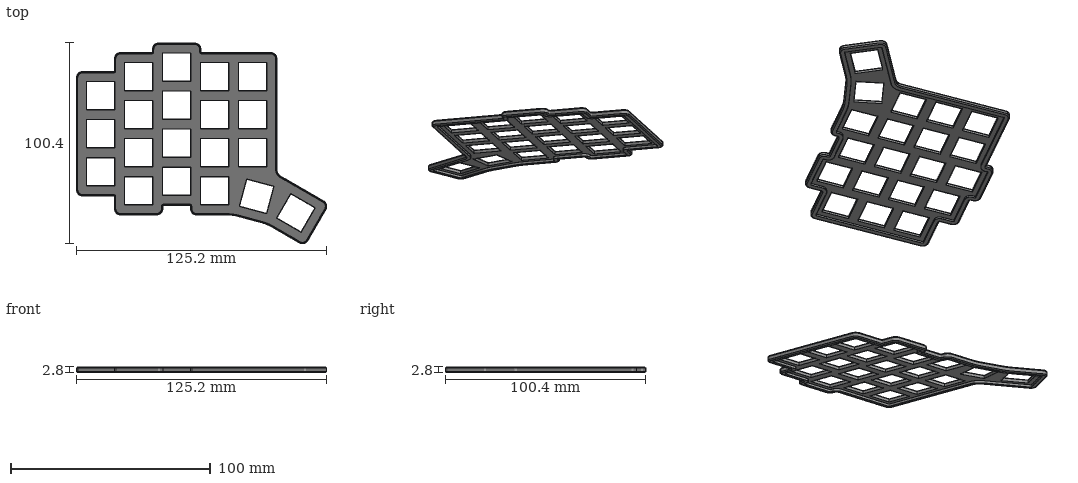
import cadquery as cq
import math

plate_length = 125.18
plate_width = 100.38
thickness = 2.8
edge_chamfer = 0.6
outer_corner_radius = 3.1
inner_corner_radius = 0.5
thumb_blend_radius = 20.0
thumb_top_radius = 4.0

skin_thickness = 1.6
rim_width = 2.6

key_pitch = 19.025
cutout_size = 14.0
border = 5.08
cell_half = cutout_size / 2 + border

anchor_column = 3
top_key_y = 3 * key_pitch
column_key_counts = [3, 4, 4, 4, 3]
column_top_ys = [
    top_key_y - key_pitch / 2,
    top_key_y,
    top_key_y + key_pitch / 4,
    top_key_y,
    top_key_y,
]
column_xs = [(i - anchor_column) * key_pitch for i in range(len(column_key_counts))]

inner_thumb_center = (21.0, -2.8)
inner_thumb_tilt = 15.0
outer_thumb_tilt = 30.0

outer_tilt_radians = math.radians(outer_thumb_tilt)
outer_cell_reach = outer_corner_radius + (cell_half - outer_corner_radius) * (
    math.cos(outer_tilt_radians) + math.sin(outer_tilt_radians)
)
outer_thumb_center = (
    min(column_xs) - cell_half + plate_length - outer_cell_reach,
    max(column_top_ys) + cell_half - plate_width + outer_cell_reach,
)


def tilted_point(center, tilt, along, across):
    """Point at local offsets (along, across) from a key tilted clockwise."""
    angle = -math.radians(tilt)
    x = center[0] + along * math.cos(angle) - across * math.sin(angle)
    y = center[1] + along * math.sin(angle) + across * math.cos(angle)
    return (x, y)


def height_on_line(point, tilt, x):
    """Height at x of the line through point that falls at the tilt angle."""
    return point[1] - (x - point[0]) * math.tan(math.radians(tilt))


def line_crossing(point_a, tilt_a, point_b, tilt_b):
    """Crossing point of two lines falling at different tilt angles."""
    slope_a = -math.tan(math.radians(tilt_a))
    slope_b = -math.tan(math.radians(tilt_b))
    rise = point_b[1] - point_a[1] + slope_a * point_a[0] - slope_b * point_b[0]
    x = rise / (slope_a - slope_b)
    return (x, height_on_line(point_a, tilt_a, x))


def make_outline():
    """Corner points, counter-clockwise from the lower left, each with its fillet radius."""
    lefts = [x - cell_half for x in column_xs]
    rights = [x + cell_half for x in column_xs]
    tops = [y + cell_half for y in column_top_ys]
    bottoms = [
        y - (count - 1) * key_pitch - cell_half
        for y, count in zip(column_top_ys, column_key_counts)
    ]

    inner_thumb_edge = tilted_point(inner_thumb_center, inner_thumb_tilt, 0, -cell_half)
    outer_low_left = tilted_point(outer_thumb_center, outer_thumb_tilt, -cell_half, -cell_half)
    outer_low_right = tilted_point(outer_thumb_center, outer_thumb_tilt, cell_half, -cell_half)
    outer_top_right = tilted_point(outer_thumb_center, outer_thumb_tilt, cell_half, cell_half)
    thumb_start = line_crossing((0, bottoms[anchor_column]), 0, inner_thumb_edge, inner_thumb_tilt)
    thumb_bend = line_crossing(
        inner_thumb_edge, inner_thumb_tilt, outer_low_left, outer_thumb_tilt
    )
    thumb_top = (rights[4], height_on_line(outer_top_right, outer_thumb_tilt, rights[4]))

    outer = outer_corner_radius
    inner = inner_corner_radius
    blend = thumb_blend_radius
    return [
        ((lefts[0], bottoms[0]), outer),
        ((lefts[1], bottoms[0]), inner),
        ((lefts[1], bottoms[1]), outer),
        ((rights[1], bottoms[1]), outer),
        ((rights[1], bottoms[2]), inner),
        ((lefts[3], bottoms[2]), inner),
        ((lefts[3], bottoms[3]), outer),
        (thumb_start, blend),
        (thumb_bend, blend),
        (outer_low_right, outer),
        (outer_top_right, outer),
        (thumb_top, thumb_top_radius),
        ((rights[4], tops[4]), outer),
        ((rights[2], tops[3]), inner),
        ((rights[2], tops[2]), outer),
        ((lefts[2], tops[2]), outer),
        ((lefts[2], tops[1]), inner),
        ((lefts[1], tops[1]), outer),
        ((lefts[1], tops[0]), inner),
        ((lefts[0], tops[0]), outer),
    ]


def corner_selector(point):
    """Selects the upright edge of the blank standing at an outline corner."""
    reach = 0.1
    low = (point[0] - reach, point[1] - reach, -reach)
    high = (point[0] + reach, point[1] + reach, thickness + reach)
    return cq.selectors.BoxSelector(low, high)


def make_blank():
    """Flat blank with every upright corner rounded."""
    outline = make_outline()
    blank = cq.Workplane("XY").polyline([point for point, _ in outline]).close().extrude(thickness)
    for point, radius in outline:
        blank = blank.edges("|Z").edges(corner_selector(point)).fillet(radius)
    return blank


def make_recess(blank):
    """Underside recess that follows the outline and leaves a rim of even width."""
    depth = thickness - skin_thickness
    base_outline = blank.section().wires().vals()[0]
    return cq.Workplane("XY").add(base_outline).toPending().offset2D(-rim_width).extrude(depth)


def make_cutout(center, tilt=0.0):
    """Square switch opening through the full thickness."""
    return (
        cq.Workplane("XY")
        .rect(cutout_size, cutout_size)
        .extrude(thickness)
        .rotate((0, 0, 0), (0, 0, 1), -tilt)
        .translate((center[0], center[1], 0))
    )


plate_blank = make_blank()
result = plate_blank.faces("<Z or >Z").edges().chamfer(edge_chamfer)
result = result.cut(make_recess(plate_blank))
for column_x, column_top_y, key_count in zip(column_xs, column_top_ys, column_key_counts):
    for row in range(key_count):
        result = result.cut(make_cutout((column_x, column_top_y - row * key_pitch)))
result = result.cut(make_cutout(inner_thumb_center, inner_thumb_tilt))
result = result.cut(make_cutout(outer_thumb_center, outer_thumb_tilt))